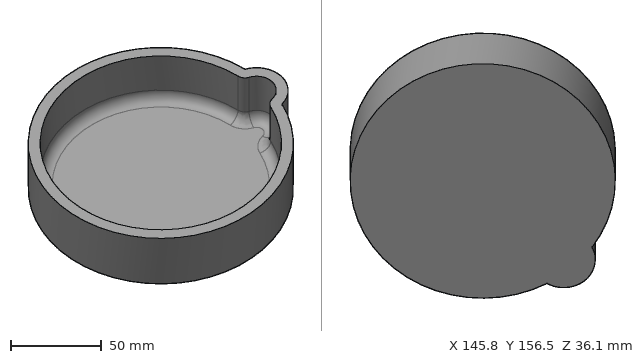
import cadquery as cq

outer_radius = 72.9
height = 36.1
wall = 6.5
floor_thickness = 2.5
floor_fillet = 6.5

overall_length = 156.5
spout_radius = 17.4
spout_center_y = overall_length - outer_radius - spout_radius
throat_fillet = 6.0

inner_radius = outer_radius - wall
spout_inner_radius = spout_radius - wall


def dish_profile(bowl_radius, lip_radius, base_z, depth):
    """Round bowl joined with its spout circle, extruded upward from base_z."""
    bowl = cq.Workplane("XY").workplane(offset=base_z).circle(bowl_radius).extrude(depth)
    lip = (
        cq.Workplane("XY")
        .workplane(offset=base_z)
        .center(0, spout_center_y)
        .circle(lip_radius)
        .extrude(depth)
    )
    return bowl.union(lip)


def make_cavity():
    """Inside volume with rounded throat edges and a rounded bottom."""
    cavity = dish_profile(inner_radius, spout_inner_radius, floor_thickness, height - floor_thickness)

    crossing_y = (inner_radius**2 - spout_inner_radius**2 + spout_center_y**2) / (2 * spout_center_y)
    crossing_x = (inner_radius**2 - crossing_y**2) ** 0.5
    mid_z = (floor_thickness + height) / 2
    for side in (-1, 1):
        throat_edge = cq.selectors.NearestToPointSelector((side * crossing_x, crossing_y, mid_z))
        cavity = cavity.edges("|Z").edges(throat_edge).fillet(throat_fillet)
    return cavity.faces("<Z").edges().fillet(floor_fillet)


body = dish_profile(outer_radius, spout_radius, 0, height)
result = body.cut(make_cavity())